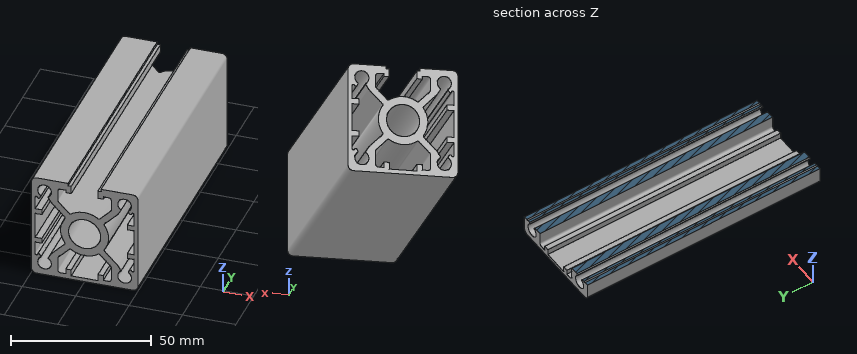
import cadquery as cq
import math

length = 100.0
side = 40.0
half_side = side / 2
corner_radius = 2.0

hub_diameter = 18.0
bore_diameter = 12.0

strut_thickness = 2.5
strut_offset = strut_thickness / math.sqrt(2)
bend_fillet = 1.0
hub_fillet = 0.5

channel_center = 15.0
channel_diameter = 5.1
channel_radius = channel_diameter / 2

chamber_half_width = 10.0
chamber_fillet = 1.0
top_wall = 3.0
bottom_wall = 2.0

slot_width = 10.0
step_width = 12.4
step_depth = 1.0

rib_inner = slot_width / 2
rib_thickness = 2.0
rib_outer = rib_inner + rib_thickness
rib_reach = 4.0
thin_wall = 1.5

neck_half_width = 1.3
neck_flare = math.radians(30)
neck_tip_fillet = 0.2
wave_radius = 0.45
groove_height = 11.8
hook_rise = 0.25


def sketch_plane():
    """Plane of the cross-section: local x is X, local y is Z, at the front end face."""
    return cq.Workplane("XZ", origin=(0, -length / 2, 0))


def prism(outline):
    """Run a closed outline along the full length, towards +Y."""
    return outline.extrude(-length)


def box(x_min, x_max, z_min, z_max):
    """Full-length rectangular bar between the given limits."""
    center = ((x_min + x_max) / 2, (z_min + z_max) / 2)
    return prism(sketch_plane().center(*center).rect(x_max - x_min, z_max - z_min))


def cylinder(diameter, x=0, z=0):
    """Full-length round bar."""
    return prism(sketch_plane().center(x, z).circle(diameter / 2))


def fillet_edge(solid, x, z, radius):
    """Round the lengthwise edge nearest to the point (x, z)."""
    nearest = cq.selectors.NearestToPointSelector((x, 0, z))
    return solid.edges("|Y").edges(nearest).fillet(radius)


def hub_junction():
    """Distances from the hub centre, along and across a chamber, to where a strut face meets it."""
    hub_radius = hub_diameter / 2
    across = (math.sqrt(2 * hub_radius**2 - strut_offset**2) - strut_offset) / 2
    return across + strut_offset, across


def rib_pair():
    """Two ribs hanging from the top wall, one on each side of the middle."""
    z_limits = (half_side - rib_reach, half_side)
    rib = box(rib_inner, rib_outer, *z_limits)
    return rib.union(box(-rib_outer, -rib_inner, *z_limits))


def end_chamber(wall):
    """Chamber above the centre, between two struts; wall is the thickness left outside it."""
    ceiling = half_side - wall
    shoulder = chamber_half_width + strut_offset
    points = [
        (0, strut_offset),
        (chamber_half_width, shoulder),
        (chamber_half_width, ceiling),
        (-chamber_half_width, ceiling),
        (-chamber_half_width, shoulder),
    ]
    chamber = prism(sketch_plane().polyline(points).close()).cut(cylinder(hub_diameter))
    junction_z, junction_x = hub_junction()
    for direction in (1, -1):
        wall_x = direction * chamber_half_width
        chamber = fillet_edge(chamber, wall_x, ceiling, chamber_fillet)
        chamber = fillet_edge(chamber, wall_x, shoulder, bend_fillet)
        chamber = fillet_edge(chamber, direction * junction_x, junction_z, hub_fillet)
    return chamber


def top_chamber():
    """Top chamber with its lips left standing, opened by the stepped slot."""
    chamber = end_chamber(top_wall)
    chamber = chamber.cut(rib_pair())
    slot = box(-slot_width / 2, slot_width / 2, half_side - rib_reach, half_side)
    step = box(-step_width / 2, step_width / 2, half_side - step_depth, half_side)
    return chamber.union(slot).union(step)


def bottom_chamber():
    """Bottom chamber with two ribs and a thinner wall between them, built on top and mirrored."""
    chamber = end_chamber(bottom_wall)
    chamber = chamber.union(
        box(-rib_inner, rib_inner, half_side - rib_reach, half_side - thin_wall)
    )
    chamber = chamber.cut(rib_pair())
    return chamber.mirror("XY")


def upper_half_side_chamber():
    """Upper half of the right-hand chamber, including its corner channel."""
    wall_face = half_side - thin_wall
    slope = math.tan(neck_flare)

    neck_height = channel_center - math.sqrt(channel_radius**2 - neck_half_width**2)
    neck_inner = (channel_center - neck_half_width, neck_height)
    neck_outer = (channel_center + neck_half_width, neck_height)

    drop = (neck_inner[0] - neck_height - strut_offset) / (slope - 1)
    strut_end = (neck_inner[0] - drop * slope, neck_height - drop)

    groove_x = wall_face - wave_radius
    hook_x = groove_x - math.sqrt((2 * wave_radius) ** 2 - hook_rise**2)
    hook_height = groove_height + hook_rise
    wave_middle = ((groove_x + hook_x) / 2, (groove_height + hook_height) / 2)
    hook_end = (
        hook_x - wave_radius * math.cos(neck_flare),
        hook_height - wave_radius * math.sin(neck_flare),
    )

    outline = (
        sketch_plane()
        .moveTo(strut_offset, 0)
        .lineTo(wall_face, 0)
        .lineTo(wall_face, groove_height)
        .threePointArc((groove_x, groove_height + wave_radius), wave_middle)
        .threePointArc((hook_x, hook_height - wave_radius), hook_end)
        .lineTo(*neck_outer)
        .lineTo(channel_center, channel_center)
        .lineTo(*neck_inner)
        .lineTo(*strut_end)
        .close()
    )
    rib = box(half_side - rib_reach, half_side, rib_inner, rib_outer)
    channel = cylinder(channel_diameter, channel_center, channel_center)
    chamber = prism(outline).cut(rib).cut(cylinder(hub_diameter)).union(channel)

    chamber = fillet_edge(chamber, *hub_junction(), hub_fillet)
    chamber = fillet_edge(chamber, *strut_end, bend_fillet)
    for tip in (neck_inner, neck_outer):
        chamber = fillet_edge(chamber, *tip, neck_tip_fillet)
    return chamber


def side_chambers():
    """Left and right chambers, mirrored from the upper half of the right-hand one."""
    upper = upper_half_side_chamber()
    right = upper.union(upper.mirror("XY"))
    return right.union(right.mirror("YZ"))


body = box(-half_side, half_side, -half_side, half_side).edges("|Y").fillet(corner_radius)

result = (
    body.cut(top_chamber())
    .cut(bottom_chamber())
    .cut(side_chambers())
    .cut(cylinder(bore_diameter))
)